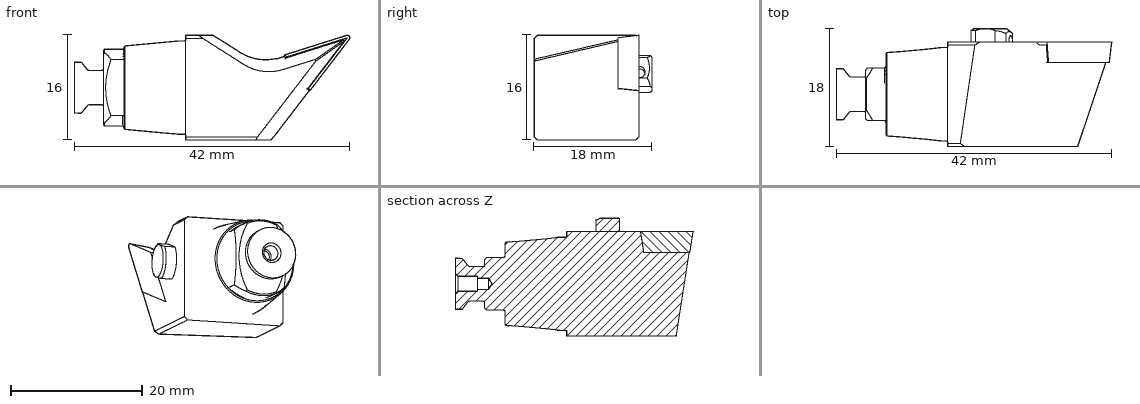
import cadquery as cq
import math



def direction(degrees):
    """Unit vector in the XZ plane, measured from +X towards +Z."""
    return cq.Vector(math.cos(math.radians(degrees)), 0, math.sin(math.radians(degrees)))


def xz(vector):
    """The two coordinates used on a plane of constant y."""
    return (vector.x, vector.z)


def wire_at(y, corners):
    """Closed polygon through the corners, moved to the plane of the given y."""
    return cq.Wire.makePolygon([cq.Vector(corner.x, y, corner.z) for corner in corners], close=True)


total_length = 42.0
head_size = 16.0
half_head = head_size / 2
head_start = 16.95
head_chamfer = 0.5

stud_radius = 3.9
stud_rim = 1.05
stud_cone_end = 2.05
neck_radius = 2.65
stud_fillet = 0.25
neck_fillet = 0.15
bore_chamfer_radius = 1.5
bore_radius = 1.15
bore_depth = 3.35
pilot_radius = 0.85
pilot_depth = 5.05
drill_tip_angle = 118.0

collar_start = 4.4
collar_radius = 5.88
collar_chamfer = 0.2
flat_distance = 4.05
collar_fillet = 0.2
lead_in_radius = 10.5
lead_in_offset = 3.7

taper_start = 7.5
taper_small_radius = 6.4
taper_large_radius = 7.15
taper_edge_chamfer = 0.2
taper_end = 15.95
taper_root_fillet = 0.15

nose_radius = 0.4
tip_angle = 35.0
top_edge_angle = 17.5
front_edge_angle = top_edge_angle + tip_angle
edge_length = 11.1
insert_thickness = 3.2
clearance_angle = 7.0
clearance_slope = math.tan(math.radians(clearance_angle))

nose_center = cq.Vector(total_length - nose_radius, 0, half_head - nose_radius)
bisector = direction(top_edge_angle + tip_angle / 2)
sharp_tip = nose_center + bisector * (nose_radius / math.sin(math.radians(tip_angle / 2)))
top_corner = sharp_tip - direction(top_edge_angle) * edge_length
bottom_corner = sharp_tip - direction(front_edge_angle) * edge_length
rear_corner = top_corner + bottom_corner - sharp_tip
top_normal = direction(top_edge_angle + 90)
front_normal = direction(front_edge_angle - 90)

groove_entry = 21.15
groove_slope = 32.5
groove_radius = 7.15
groove_shift = 0.55
groove_drop = 1.85
rake_setback = 0.145
flank_setback = 0.1
land_corner = 36.8
land_angle = 18.5

notch_depth = 0.5
notch_reach = 2.77
notch_rise = 0.4

nozzle_x = 23.45
nozzle_z = 2.1
nozzle_radius = 2.95
nozzle_height = 2.0
nozzle_half_width = 2.48
nose_front = 3.05
nose_half_width = 1.65
cap_radius = 2.5
cap_slope = 38.0
orifice_radius = 0.92
orifice_offset = -0.67
orifice_depth = 1.25


def revolved(points):
    """Turned solid about the X axis from (x, radius) points."""
    return cq.Workplane("XZ").polyline(points).close().revolve(360, (0, 0, 0), (1, 0, 0))


def make_stud():
    """Disc with a conical back and a neck that joins the collar."""
    return revolved([
        (0, 0),
        (0, stud_radius),
        (stud_rim, stud_radius),
        (stud_cone_end, neck_radius),
        (collar_start, neck_radius),
        (collar_start, 0),
    ])


def make_collar():
    """Chamfered cylinder with two wrench flats, each with a conical lead-in."""
    length = taper_start - collar_start
    collar = cq.Workplane("YZ", origin=(collar_start, 0, 0)).circle(collar_radius).extrude(length)
    collar = collar.faces("<X").chamfer(collar_chamfer)
    across_flats = cq.Workplane("YZ", origin=(collar_start, 0, 0)).rect(2 * flat_distance, 3 * collar_radius)
    collar = collar.intersect(across_flats.extrude(length))
    for side in (1, -1):
        lead_in = cq.Solid.makeCone(
            lead_in_radius,
            lead_in_radius + length,
            length,
            pnt=cq.Vector(collar_start, side * (lead_in_offset - lead_in_radius), 0),
            dir=cq.Vector(1, 0, 0),
        )
        collar = collar.intersect(cq.Workplane(lead_in))
    return collar


def make_taper():
    return revolved([
        (taper_start, 0),
        (taper_start, taper_small_radius - taper_edge_chamfer),
        (taper_start + taper_edge_chamfer, taper_small_radius),
        (taper_end, taper_large_radius),
        (head_start, taper_large_radius),
        (head_start, 0),
    ])


def make_bore():
    """Countersunk bore with a smaller drilled hole at its end."""
    tip_length = pilot_radius / math.tan(math.radians(drill_tip_angle / 2))
    return revolved([
        (0, 0),
        (0, bore_chamfer_radius),
        (bore_chamfer_radius - bore_radius, bore_radius),
        (bore_depth, bore_radius),
        (bore_depth, pilot_radius),
        (pilot_depth, pilot_radius),
        (pilot_depth + tip_length, 0),
    ])


def make_head():
    length = sharp_tip.x - head_start
    block = cq.Workplane("XY").box(length, head_size, head_size, centered=(False, True, True))
    return block.translate((head_start, 0, 0)).edges("|X").chamfer(head_chamfer)


def make_chip_groove():
    """Valley in the top of the head; its axis drops and shifts from +Y to -Y."""
    rake_point = top_corner - top_normal * rake_setback
    slope_tan = math.tan(math.radians(groove_slope))
    rake_tan = math.tan(math.radians(top_edge_angle))
    slope_height = half_head + groove_entry * slope_tan
    rake_height = rake_point.z - rake_point.x * rake_tan
    valley_x = (slope_height - rake_height) / (slope_tan + rake_tan)
    valley = cq.Vector(valley_x, 0, half_head - (valley_x - groove_entry) * slope_tan)
    tangent_length = groove_radius * math.tan(math.radians((groove_slope + top_edge_angle) / 2))
    up_slope = direction(180 - groove_slope)
    up_rake = direction(top_edge_angle)
    arc_start = valley + up_slope * tangent_length
    arc_end = valley + up_rake * tangent_length
    arc_center = arc_end + top_normal * groove_radius
    arc_middle = arc_center + direction(270 + (top_edge_angle - groove_slope) / 2) * groove_radius
    far_left = valley + up_slope * head_size
    far_right = valley + up_rake * 2 * head_size
    profile = (
        cq.Workplane("XZ", origin=(0, half_head, 0))
        .moveTo(*xz(far_left))
        .lineTo(*xz(arc_start))
        .threePointArc(xz(arc_middle), xz(arc_end))
        .lineTo(*xz(far_right))
        .lineTo(far_right.x, 2 * head_size)
        .lineTo(far_left.x, 2 * head_size)
        .close()
    )
    lean = cq.Vector(groove_shift, -head_size, -groove_drop)
    return cq.Workplane(cq.Solid.extrudeLinear(profile.val(), [], lean))


def make_flank_cut():
    """Everything in front of the flank, which recedes towards -Y by the clearance angle."""
    middle = bottom_corner - front_normal * flank_setback
    along = direction(front_edge_angle) * 2 * head_size
    away = front_normal * 2 * head_size
    corners = [middle - along, middle + along, middle + along + away, middle - along + away]
    lean = cq.Vector(0, -head_size, 0) - front_normal * (head_size * clearance_slope)
    return cq.Workplane(cq.Solid.extrudeLinear(wire_at(half_head, corners), [], lean))


def make_land_cut():
    """Upright cut that blunts the edge between the rake face and the flank."""
    cut = cq.Workplane("XY").box(head_size, 3 * head_size, 2 * head_size, centered=(False, True, True))
    return cut.rotate((0, 0, 0), (0, 0, 1), -land_angle).translate((land_corner, -half_head, 0))


def make_seat():
    """Space for the insert, with a sharp tip so that nothing is left in front of the nose."""
    corners = [sharp_tip, top_corner, rear_corner, bottom_corner]
    outline = cq.Workplane("XZ", origin=(0, half_head, 0))
    outline = outline.polyline([xz(corner) for corner in corners]).close()
    return outline.extrude(insert_thickness, taper=clearance_angle)


def make_insert():
    """Rhombus with a rounded tip, shrinking towards -Y by the clearance angle."""
    nose_start = nose_center + front_normal * nose_radius
    nose_middle = nose_center + bisector * nose_radius
    nose_end = nose_center + top_normal * nose_radius
    outline = (
        cq.Workplane("XZ", origin=(0, half_head, 0))
        .moveTo(*xz(nose_start))
        .threePointArc(xz(nose_middle), xz(nose_end))
        .lineTo(*xz(top_corner))
        .lineTo(*xz(rear_corner))
        .lineTo(*xz(bottom_corner))
        .close()
    )
    return outline.extrude(insert_thickness, taper=clearance_angle)


def make_notch():
    """Small relief in the +Y edge of the rake face, behind the insert."""
    along = direction(front_edge_angle)
    start = top_corner + along * notch_rise
    floor = top_corner - along * notch_reach
    corners = [start, floor, cq.Vector(floor.x, 0, start.z)]
    lean = cq.Vector(notch_depth, -notch_depth, 0)
    return cq.Workplane(cq.Solid.extrudeLinear(wire_at(half_head, corners), [], lean))


def fillet_ring(body, x, radius, fillet_radius):
    """Fillet the edges in the plane at x that start no farther than radius from the X axis."""
    margin = 0.02
    low = (x - margin, -head_size, -head_size)
    high = (x + margin, head_size, head_size)
    in_plane = body.edges(cq.selectors.BoxSelector(low, high)).vals()
    starts = [edge.startPoint() for edge in in_plane]
    ring = [edge for edge, start in zip(in_plane, starts) if math.hypot(start.y, start.z) < radius + margin]
    return body.newObject(ring).fillet(fillet_radius)


def make_holder():
    head = make_head().cut(make_chip_groove()).cut(make_flank_cut()).cut(make_land_cut())
    holder = head.union(make_taper()).union(make_collar()).union(make_stud())
    holder = fillet_ring(holder, head_start, taper_large_radius, taper_root_fillet)
    holder = fillet_ring(holder, taper_start, collar_radius, collar_fillet)
    holder = fillet_ring(holder, stud_rim, stud_radius, stud_fillet)
    holder = fillet_ring(holder, stud_cone_end, neck_radius, stud_fillet)
    holder = fillet_ring(holder, collar_start, neck_radius, neck_fillet)
    return holder.cut(make_bore()).cut(make_notch()).cut(make_seat())


def make_nozzle():
    """Round boss with two flats and a blunt nose that points at the insert tip."""
    shoulder = math.sqrt(nozzle_radius**2 - nozzle_half_width**2)
    outline = (
        cq.Workplane("XZ")
        .moveTo(-shoulder, nozzle_half_width)
        .lineTo(shoulder, nozzle_half_width)
        .lineTo(nose_front, nose_half_width)
        .lineTo(nose_front, -nose_half_width)
        .lineTo(shoulder, -nozzle_half_width)
        .lineTo(-shoulder, -nozzle_half_width)
        .threePointArc((-nozzle_radius, 0), (-shoulder, nozzle_half_width))
        .close()
    )
    cone_base_radius = cap_radius + nozzle_height / math.tan(math.radians(cap_slope))
    cap = cq.Solid.makeCone(cone_base_radius, cap_radius, nozzle_height, dir=cq.Vector(0, 1, 0))
    orifice = cq.Workplane("YZ", origin=(nose_front, 0, orifice_offset)).circle(orifice_radius)
    orifice = orifice.extrude(-orifice_depth)
    nozzle = outline.extrude(-nozzle_height).intersect(cq.Workplane(cap)).cut(orifice)
    nozzle = nozzle.rotate((0, 0, 0), (0, 1, 0), -top_edge_angle)
    return nozzle.translate((nozzle_x, half_head, nozzle_z))


insert = make_insert()
holder = make_holder()
nozzle = make_nozzle()

result = cq.Compound.makeCompound([holder.val(), insert.val(), nozzle.val()])